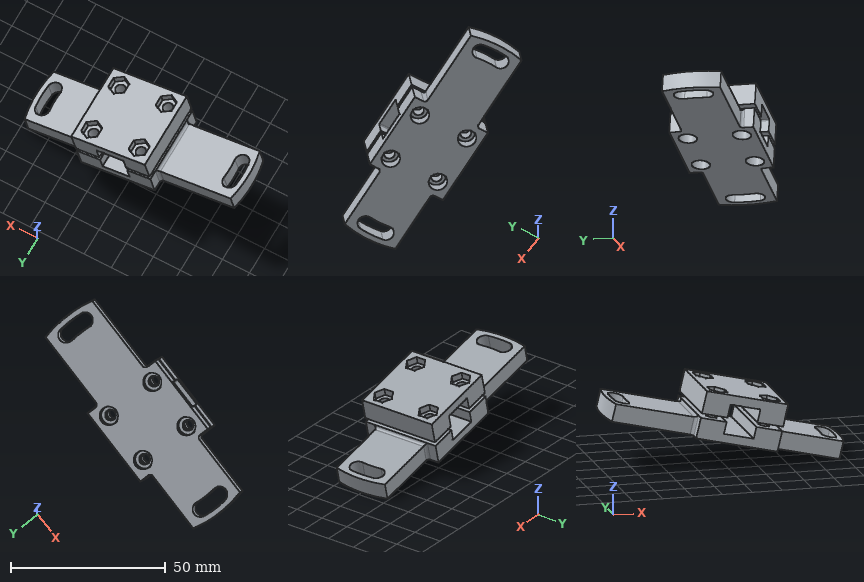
import cadquery as cq
import math

tilt_angle = 13.27

plate_radius = 40.25
plate_width = 19.4
plate_thickness = 6.0

slot_path_radius = 35.75
slot_width = 5.0
slot_length = 13.0

block_width = 28.0
block_length = 27.9
block_offset = 2.6
lower_block_height = 7.0
upper_block_height = 7.5
clamp_gap = 1.5
upper_block_base = lower_block_height + clamp_gap
upper_block_top = upper_block_base + upper_block_height

passage_length = 10.2
lower_passage_depth = 4.0
upper_passage_depth = 4.4
passage_corner_radius = 0.3

arm_blend_radius = 0.99

screw_spacing = 18.0
screw_hole_diameter = 3.5
nut_across_flats = 6.0
nut_pocket_depth = 2.5
screw_head_diameter = 6.0
screw_head_depth = 3.5


def box_on(base_height, length, width, height, x_center):
    """Box centred on y = 0 and standing on the given height."""
    return (
        cq.Workplane("XY", origin=(x_center, 0, base_height))
        .box(length, width, height, centered=(True, True, False))
    )


def screw_pattern(height):
    """Workplane with the four screw positions selected."""
    return (
        cq.Workplane("XY", origin=(block_offset, 0, height))
        .rect(screw_spacing, screw_spacing, forConstruction=True)
        .vertices()
    )


def curved_slot(side):
    """Round-ended slot following an arc; side is +1 for the +X end, -1 for the -X end."""
    end_radius = slot_width / 2
    half_angle = math.asin((slot_length / 2 - end_radius) / slot_path_radius)

    def point(radius, angle):
        return (side * radius * math.cos(angle), radius * math.sin(angle))

    inner = slot_path_radius - end_radius
    outer = slot_path_radius + end_radius
    cap_angle = half_angle + end_radius / slot_path_radius
    return (
        cq.Workplane("XY")
        .moveTo(*point(outer, -half_angle))
        .threePointArc(point(outer, 0), point(outer, half_angle))
        .threePointArc(point(slot_path_radius, cap_angle), point(inner, half_angle))
        .threePointArc(point(inner, 0), point(inner, -half_angle))
        .threePointArc(point(slot_path_radius, -cap_angle), point(outer, -half_angle))
        .close()
        .extrude(plate_thickness)
    )


def make_base():
    """Plate with the lower clamping block, slots and screw-head counterbores."""
    plate = (
        cq.Workplane("XY")
        .circle(plate_radius)
        .extrude(plate_thickness)
        .intersect(box_on(0, 2 * plate_radius, plate_width, plate_thickness, 0))
    )
    base = plate.union(box_on(0, block_length, block_width, lower_block_height, block_offset))

    margin = 0.1
    for side in (-1, 1):
        wall_x = block_offset + side * block_length / 2
        around_wall = cq.selectors.BoxSelector(
            (wall_x - margin, -plate_width / 2 - margin, margin),
            (wall_x + margin, plate_width / 2 + margin, plate_thickness + margin),
        )
        base = base.edges(around_wall).fillet(arm_blend_radius)

    passage_floor = lower_block_height - lower_passage_depth
    base = base.cut(box_on(passage_floor, passage_length, block_width, lower_passage_depth, block_offset))
    for side in (-1, 1):
        base = base.cut(curved_slot(side))
    base = base.cut(screw_pattern(0).circle(screw_hole_diameter / 2).extrude(lower_block_height))
    return base.cut(screw_pattern(0).circle(screw_head_diameter / 2).extrude(screw_head_depth))


def make_cap():
    """Upper clamping block with hexagonal nut pockets in its top."""
    passage = (
        box_on(upper_block_base, passage_length, block_width, upper_passage_depth, block_offset)
        .edges("|Y and >Z")
        .fillet(passage_corner_radius)
    )
    screw_holes = (
        screw_pattern(upper_block_base)
        .circle(screw_hole_diameter / 2)
        .extrude(upper_block_height)
    )
    nut_across_corners = nut_across_flats / math.cos(math.pi / 6)
    nut_pockets = (
        screw_pattern(upper_block_top - nut_pocket_depth)
        .eachpoint(
            lambda place: cq.Workplane("XY")
            .polygon(6, nut_across_corners)
            .extrude(nut_pocket_depth)
            .rotate((0, 0, 0), (0, 0, 1), 90)
            .val()
            .moved(place)
        )
    )
    return (
        box_on(upper_block_base, block_length, block_width, upper_block_height, block_offset)
        .cut(passage)
        .cut(screw_holes)
        .cut(nut_pockets)
    )


def tilt(body):
    """Tip a body about the Y axis."""
    return body.rotate((0, 0, 0), (0, 1, 0), tilt_angle)


base = tilt(make_base())
cap = tilt(make_cap())

result = cq.Compound.makeCompound([base.val(), cap.val()])